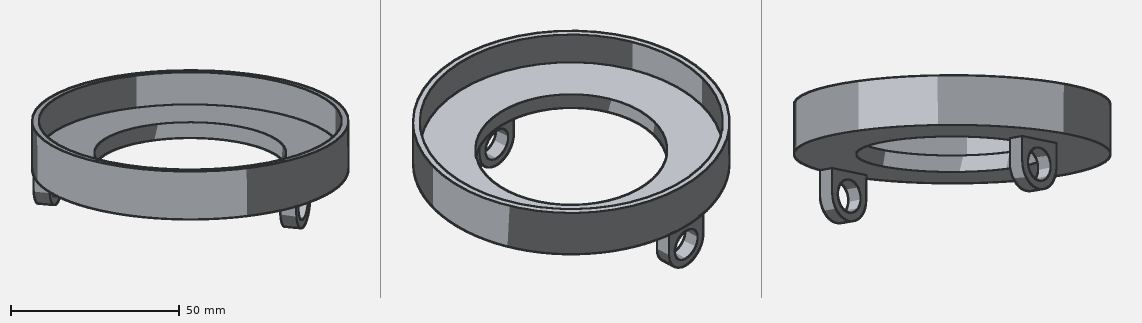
import cadquery as cq

outer_diameter = 94.0
recess_diameter = 90.0
opening_diameter = 57.0
tray_height = 15.0
floor_thickness = 5.0

total_height = 30.0
lug_width = 15.0
lug_thickness = 5.0
lug_hole_diameter = 10.0
left_lug_start_x = -46.3
right_lug_start_x = 30.0

lug_radius = lug_width / 2
lug_drop = total_height - tray_height
lug_hole_z = lug_radius - lug_drop


def make_tray():
    """Tray standing on Z = 0, open at the top, with the opening through its floor."""
    body = cq.Workplane("XY").circle(outer_diameter / 2).extrude(tray_height)
    recess = (
        cq.Workplane("XY")
        .workplane(offset=floor_thickness)
        .circle(recess_diameter / 2)
        .extrude(tray_height - floor_thickness)
    )
    opening = cq.Workplane("XY").circle(opening_diameter / 2).extrude(tray_height)
    return body.cut(recess).cut(opening)


def make_lug(start_x):
    """Lug below the tray floor, extending in +X from start_x."""
    return (
        cq.Workplane("YZ", origin=(start_x, 0, 0))
        .moveTo(-lug_radius, 0)
        .lineTo(-lug_radius, lug_hole_z)
        .threePointArc((0, -lug_drop), (lug_radius, lug_hole_z))
        .lineTo(lug_radius, 0)
        .close()
        .moveTo(0, lug_hole_z)
        .circle(lug_hole_diameter / 2)
        .extrude(lug_thickness)
    )


result = make_tray()
for lug_start_x in (left_lug_start_x, right_lug_start_x):
    result = result.union(make_lug(lug_start_x))